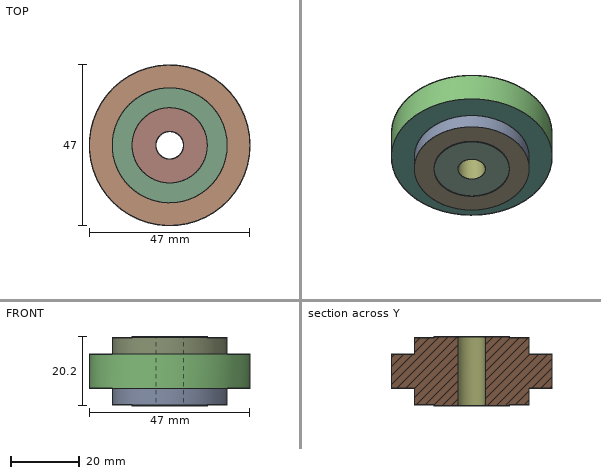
import cadquery as cq

rim_diameter = 47.0
hub_diameter = 33.6
boss_diameter = 22.0
bore_diameter = 8.0

rim_height = 10.0
boss_height = 20.2
boss_step = 0.3
hub_height = boss_height - 2 * boss_step


def centred_disc(diameter, height):
    """Disc on the Z axis, symmetric about the XY plane."""
    return cq.Workplane("XY").cylinder(height, diameter / 2)


rim = centred_disc(rim_diameter, rim_height)
hub = centred_disc(hub_diameter, hub_height)
boss = centred_disc(boss_diameter, boss_height)

bore = centred_disc(bore_diameter, boss_height)

result = rim.union(hub).union(boss).cut(bore)